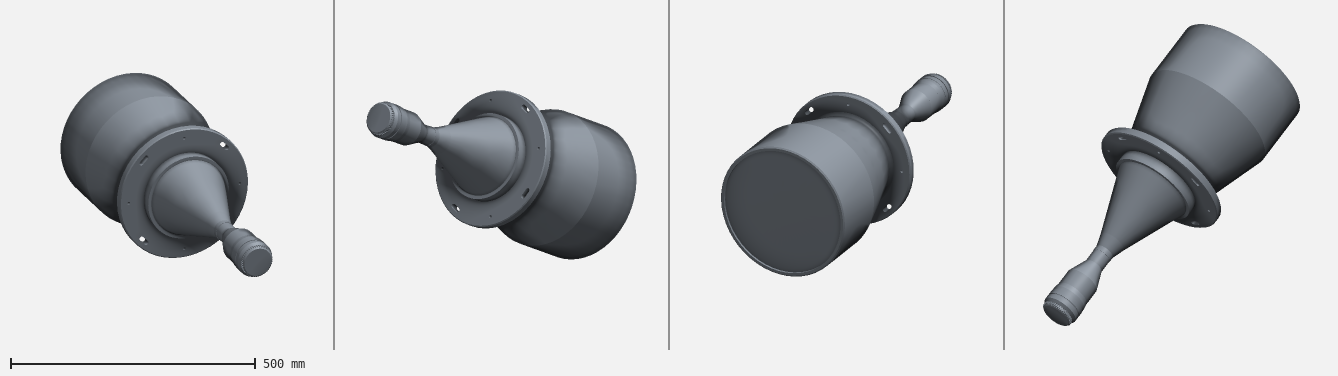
import cadquery as cq
import math

TOTAL_LENGTH = 683.0
BARREL_CONE_X = 130.5
FLANGE_HUB_X = 280.0
FLANGE_FRONT_X = 289.0
FLANGE_BACK_X = 306.5
NECK_END_X = 329.0
CONE_BREAK_X = 477.0
WAIST_X = 504.5
WAIST_STEP_X = 516.0
WAIST_END_X = 544.0
SLEEVE_X = 586.0
SLEEVE_END_X = 623.0
FOCUS_RING_X = 634.0
FOCUS_STEP_X = 643.0
FOCUS_GROOVE_X = 654.0
FOCUS_CHAMFER_X = 667.0
KNURL_X = 673.0

OUTER_DIAMETER = 286.0
OUTER_R = OUTER_DIAMETER / 2
GLASS_R = 134.5
BARREL_END_R = 100.0
HUB_FLARE_R = 105.0
NECK_R = 90.0
CONE_START_R = 82.5
CONE_BREAK_R = 29.0
WAIST_R = 20.0
SLEEVE_R = 35.5
FOCUS_RING_R = 38.0
KNURL_R = 34.0

RIM_CHAMFER = 3.0
GLASS_RECESS = 5.0
GLASS_SAG = 3.5
GLASS_EDGE_THICKNESS = 13.5
HUB_FLARE_ARC_R = 9.0
FLANGE_CHAMFER = 2.0
WAIST_STEP = 1.0
FOCUS_STEP = 1.0
GROOVE_WIDTH = 3.0
GROOVE_DEPTH = 1.5
KNURL_CHAMFER = 4.0
KNURL_COUNT = 48
KNURL_DEPTH = 2.0

SLOT_PITCH_R = 127.0
PIN_HOLE_PITCH_R = 123.5
OPENING_COUNT = 4
SLOT_ANGLE = 45
SLOT_LENGTH = 24.5
SLOT_WIDTH = 9.5
PIN_HOLE_DIAMETER = 6.0


def turned(profile):
    """Full turn about the X axis of a closed profile lying above it in the XZ plane."""
    return profile.close().revolve(360, (0, 0, 0), (1, 0, 0))


def make_glass():
    """Front lens element: a shallow dome on a plain disc, recessed behind the barrel rim."""
    edge_x = GLASS_RECESS
    apex_x = edge_x - GLASS_SAG
    back_x = edge_x + GLASS_EDGE_THICKNESS
    dome_r = (GLASS_R**2 + GLASS_SAG**2) / (2 * GLASS_SAG)
    half_angle = math.asin(GLASS_R / dome_r) / 2
    mid_point = (apex_x + dome_r * (1 - math.cos(half_angle)), dome_r * math.sin(half_angle))
    return turned(
        cq.Workplane("XZ")
        .moveTo(apex_x, 0)
        .threePointArc(mid_point, (edge_x, GLASS_R))
        .lineTo(back_x, GLASS_R)
        .lineTo(back_x, 0)
    )


def make_front_barrel():
    """Cylinder tapering back to the flange, with a seat for the glass at its front."""
    seat_x = GLASS_RECESS + GLASS_EDGE_THICKNESS
    return turned(
        cq.Workplane("XZ")
        .moveTo(seat_x, 0)
        .lineTo(seat_x, GLASS_R)
        .lineTo(0, GLASS_R)
        .lineTo(0, OUTER_R - RIM_CHAMFER)
        .lineTo(RIM_CHAMFER, OUTER_R)
        .lineTo(BARREL_CONE_X, OUTER_R)
        .lineTo(FLANGE_HUB_X, BARREL_END_R)
        .lineTo(FLANGE_HUB_X, 0)
    )


def make_flange():
    """Mounting flange with a flared hub in front, a neck behind, four slots and four pin holes."""
    flange = turned(
        cq.Workplane("XZ")
        .moveTo(FLANGE_HUB_X, 0)
        .lineTo(FLANGE_HUB_X, BARREL_END_R)
        .radiusArc((FLANGE_FRONT_X, HUB_FLARE_R), -HUB_FLARE_ARC_R)
        .lineTo(FLANGE_FRONT_X, OUTER_R - FLANGE_CHAMFER)
        .lineTo(FLANGE_FRONT_X + FLANGE_CHAMFER, OUTER_R)
        .lineTo(FLANGE_BACK_X - FLANGE_CHAMFER, OUTER_R)
        .lineTo(FLANGE_BACK_X, OUTER_R - FLANGE_CHAMFER)
        .lineTo(FLANGE_BACK_X, NECK_R)
        .lineTo(NECK_END_X, NECK_R)
        .lineTo(NECK_END_X, 0)
    )
    thickness = FLANGE_BACK_X - FLANGE_FRONT_X
    face = cq.Workplane("YZ", origin=(FLANGE_FRONT_X, 0, 0))
    slots = (
        face.polarArray(SLOT_PITCH_R, SLOT_ANGLE, 360, OPENING_COUNT)
        .slot2D(SLOT_LENGTH, SLOT_WIDTH, 90)
        .extrude(thickness)
    )
    pin_holes = (
        face.polarArray(PIN_HOLE_PITCH_R, 0, 360, OPENING_COUNT)
        .circle(PIN_HOLE_DIAMETER / 2)
        .extrude(thickness)
    )
    return flange.cut(slots).cut(pin_holes)


def make_relay_tube():
    """Long cone narrowing to a waist, then widening to the sleeve."""
    return turned(
        cq.Workplane("XZ")
        .moveTo(NECK_END_X, 0)
        .lineTo(NECK_END_X, CONE_START_R)
        .lineTo(CONE_BREAK_X, CONE_BREAK_R)
        .lineTo(WAIST_X, WAIST_R + WAIST_STEP)
        .lineTo(WAIST_STEP_X, WAIST_R + WAIST_STEP)
        .lineTo(WAIST_STEP_X, WAIST_R)
        .lineTo(WAIST_END_X, WAIST_R)
        .lineTo(SLEEVE_X, SLEEVE_R)
        .lineTo(SLEEVE_X, 0)
    )


def make_sleeve():
    """Plain cylinder between the relay tube and the focus ring."""
    return (
        cq.Workplane("YZ", origin=(SLEEVE_X, 0, 0))
        .circle(SLEEVE_R)
        .extrude(SLEEVE_END_X - SLEEVE_X)
    )


def make_focus_ring():
    """Stepped and grooved rear ring ending in a knurled, chamfered grip."""
    groove_end_x = FOCUS_GROOVE_X + GROOVE_WIDTH
    ring = turned(
        cq.Workplane("XZ")
        .moveTo(SLEEVE_END_X, 0)
        .lineTo(SLEEVE_END_X, SLEEVE_R)
        .lineTo(FOCUS_RING_X, FOCUS_RING_R - FOCUS_STEP)
        .lineTo(FOCUS_STEP_X, FOCUS_RING_R - FOCUS_STEP)
        .lineTo(FOCUS_STEP_X, FOCUS_RING_R)
        .lineTo(FOCUS_GROOVE_X, FOCUS_RING_R)
        .lineTo(FOCUS_GROOVE_X, FOCUS_RING_R - GROOVE_DEPTH)
        .lineTo(groove_end_x, FOCUS_RING_R - GROOVE_DEPTH)
        .lineTo(groove_end_x, FOCUS_RING_R)
        .lineTo(FOCUS_CHAMFER_X, FOCUS_RING_R)
        .lineTo(KNURL_X, KNURL_R)
        .lineTo(TOTAL_LENGTH - KNURL_CHAMFER, KNURL_R)
        .lineTo(TOTAL_LENGTH, KNURL_R - KNURL_CHAMFER)
        .lineTo(TOTAL_LENGTH, 0)
    )
    cutters = (
        cq.Workplane("YZ", origin=(KNURL_X, 0, 0))
        .polarArray(KNURL_R, 0, 360, KNURL_COUNT)
        .rect(2 * KNURL_DEPTH, KNURL_DEPTH)
        .extrude(TOTAL_LENGTH - KNURL_X)
    )
    return ring.cut(cutters)


result = cq.Compound.makeCompound(
    [
        make_glass().val(),
        make_front_barrel().val(),
        make_flange().val(),
        make_relay_tube().val(),
        make_sleeve().val(),
        make_focus_ring().val(),
    ]
)